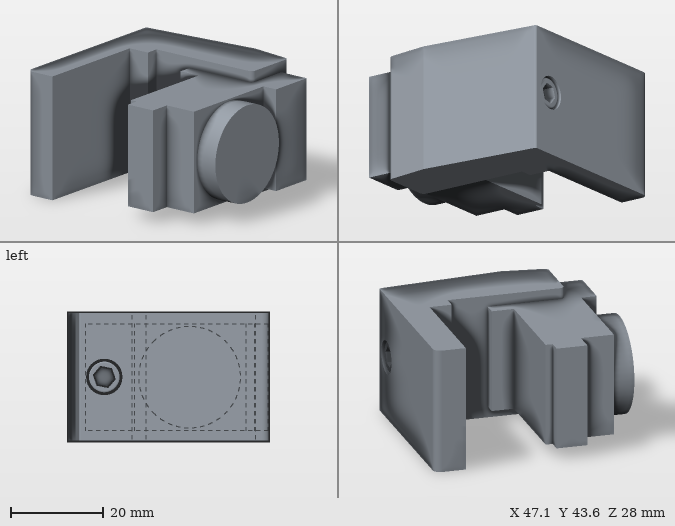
import cadquery as cq
import math


frame_height = 28.0
frame_width = 38.5
frame_length = 43.62
arm_wall = 4.0
arm_tip_width = 7.0
arm_tip_length = 3.1
head_inner_y = 29.75
apex_x = 28.3
left_slope = math.radians(5.0)
right_slope = math.radians(8.0)
head_left_y = frame_length - apex_x * math.tan(left_slope)
head_right_y = frame_length - (frame_width - apex_x) * math.tan(right_slope)
arm_tip_radius = 1.6
head_left_radius = 0.5
head_corner_radius = 1.0

pad_thickness = arm_tip_width - arm_wall
pad_foot = 8.0

jaw_height = 23.0
jaw_inner_x = 29.08
jaw_back_x = 42.08
jaw_wing_x = 45.58
jaw_wing_bottom_y = 29.2
jaw_wing_top_y = 39.8
jaw_tip_bottom_y = 0.35
jaw_tip_top_y = 3.3
jaw_tip_inner_x = 27.65
jaw_tip_outer_x = 34.6
jaw_step_y = 5.13

knob_radius = 11.0
knob_thickness = 5.0
knob_y = 17.3

screw_y = 35.7
bore_radius = 3.75
bore_depth = 5.0
screw_radius = 3.5
screw_recess = 0.5
screw_edge_radius = 0.5
socket_flats = 4.0
socket_depth = 2.5
socket_turn = 11.0


def extrude_centred(outline, height):
    """Extrude a closed XY outline symmetrically about Z = 0."""
    return outline.extrude(height / 2, both=True)


def axial_plane(x, y):
    """Plane facing +X with its origin at (x, y, 0)."""
    return cq.Workplane(cq.Plane(origin=(x, y, 0), xDir=(0, 1, 0), normal=(1, 0, 0)))


def round_corner(body, x, y, radius):
    """Round the edge parallel to Z that passes through (x, y)."""
    return body.edges(cq.NearestToPointSelector((x, y, 0))).fillet(radius)


def make_frame():
    outline = cq.Workplane("XY").polyline([
        (0, 0),
        (arm_tip_width, 0),
        (arm_tip_width, arm_tip_length),
        (arm_wall, arm_tip_length),
        (arm_wall, head_inner_y),
        (frame_width, head_inner_y),
        (frame_width, head_right_y),
        (apex_x, frame_length),
        (0, head_left_y),
    ]).close()
    body = extrude_centred(outline, frame_height)
    body = round_corner(body, 0, 0, arm_tip_radius)
    body = round_corner(body, 0, head_left_y, head_left_radius)
    body = round_corner(body, frame_width, head_right_y, head_corner_radius)
    body = round_corner(body, frame_width, head_inner_y, head_corner_radius)
    bore = axial_plane(0, screw_y).circle(bore_radius).extrude(bore_depth)
    return body.cut(bore)


def make_pad(back_x, end_y, inward, height):
    """L-shaped pad backed at back_x; inward is the X direction its foot points to."""
    face_x = back_x + inward * pad_thickness
    foot_x = back_x + inward * pad_foot
    outline = cq.Workplane("XY").polyline([
        (back_x, end_y),
        (face_x, end_y),
        (face_x, head_inner_y - pad_thickness),
        (foot_x, head_inner_y - pad_thickness),
        (foot_x, head_inner_y),
        (back_x, head_inner_y),
    ]).close()
    return extrude_centred(outline, height)


def make_jaw():
    """Jaw wrapping around the rounded inner corner of the frame head."""
    arc_mid = head_corner_radius * math.sqrt(0.5)
    arc_centre_x = frame_width - head_corner_radius
    arc_centre_y = head_inner_y + head_corner_radius
    outline = (
        cq.Workplane("XY")
        .moveTo(jaw_inner_x, head_inner_y)
        .lineTo(jaw_inner_x, jaw_tip_top_y)
        .lineTo(jaw_tip_inner_x, jaw_tip_top_y)
        .lineTo(jaw_tip_inner_x, jaw_tip_bottom_y)
        .lineTo(jaw_tip_outer_x, jaw_tip_bottom_y)
        .lineTo(jaw_tip_outer_x, jaw_step_y)
        .lineTo(jaw_back_x, jaw_step_y)
        .lineTo(jaw_back_x, jaw_wing_bottom_y)
        .lineTo(jaw_wing_x, jaw_wing_bottom_y)
        .lineTo(jaw_wing_x, jaw_wing_top_y)
        .lineTo(frame_width, jaw_wing_top_y)
        .lineTo(frame_width, arc_centre_y)
        .threePointArc((arc_centre_x + arc_mid, arc_centre_y - arc_mid), (arc_centre_x, head_inner_y))
        .close()
    )
    return extrude_centred(outline, jaw_height)


def make_knob():
    return axial_plane(jaw_back_x, knob_y).circle(knob_radius).extrude(knob_thickness)


def make_screw():
    """Screw head resting on the floor of the bore, with a rounded rim and a hex socket."""
    head = axial_plane(screw_recess, screw_y).circle(screw_radius).extrude(bore_depth - screw_recess)
    head = head.faces("<X").edges().fillet(screw_edge_radius)
    socket_across_corners = socket_flats / math.cos(math.pi / 6)
    socket = axial_plane(screw_recess, screw_y).polygon(6, socket_across_corners).extrude(socket_depth)
    socket = socket.rotate((0, screw_y, 0), (1, screw_y, 0), socket_turn)
    return head.cut(socket)


frame = make_frame()
frame_pad = make_pad(arm_wall, arm_tip_length, 1, frame_height)
jaw = make_jaw()
jaw_pad = make_pad(jaw_inner_x, jaw_tip_top_y, -1, jaw_height)
knob = make_knob()
screw = make_screw()

result = cq.Compound.makeCompound([
    frame.val(),
    frame_pad.val(),
    jaw.val(),
    jaw_pad.val(),
    knob.val(),
    screw.val(),
])